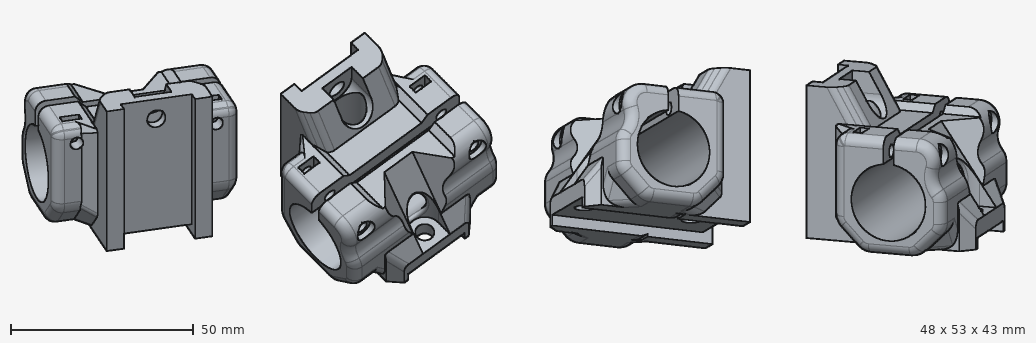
import cadquery as cq
import math

OVER = 1.0

BODY_LENGTH = 53.0
BODY_HALF_WIDTH = 16.0
BODY_TOP = 33.0
END_FILLET = 3.0
BORE_RADIUS = 10.8
BORE_Z = 15.0
CLAMP_GAP = 3.0
BOTTOM_CHAMFER = 8.0
BOTTOM_CORNER_RADIUS = 5.0
TOP_CORNER_CHAMFER = 2.0
TOP_CORNER_RADIUS = 3.01
SHOULDER_CENTER = (-8.0, 27.0)
SHOULDER_RADIUS = 6.0
FLANK_CENTER = (-11.0, 16.2)
FLANK_RADIUS = BODY_HALF_WIDTH + FLANK_CENTER[0]
WAIST_RADIUS = 6.0

MOUNT_LEFT = -20.0
MOUNT_RIGHT = 28.0
MOUNT_HALF_WIDTH = 15.1
MOUNT_TOP = 43.0
CHANNEL_HALF_WIDTH = 10.15
CHANNEL_DEPTH = 3.0
EDGE_FILLET = 3.0

FOOT_HEIGHT = 8.0
FOOT_SLOPE = math.tan(math.radians(55.0))
FOOT_CORNER = 3.5
FOOT_REACH = 8.0

PLATE_TOP_LEFT = 17.2
PLATE_SLOPE = math.tan(math.radians(60.0))
PLATE_EDGE_CHAMFER = 3.0
PLATE_SLOPE_BASE = 28.0

GUSSET_REACH = 3.5
GUSSET_TOP_CHAMFER = 2.2

RECESS_FLOOR = 31.0
RECESS_HALF_FLOOR = 12.9

RELIEF_HALF_WIDTH = 5.05
RELIEF_FLARE = math.radians(39.0)

MOUNT_HOLE_RADIUS = 2.6
FOOT_HOLE_X = -15.0
INNER_HOLE_X = 17.0
HEAD_RADIUS = 4.85
HEAD_SEAT_Z = FOOT_HEIGHT
BORE_BREAK_FILLET = 0.8
BREAK_MARGIN = 0.2
PLATE_HOLE_Z = 37.0
PLATE_HEAD_RADIUS = 5.25
PLATE_SEAT_X = 22.0

CLAMP_SCREW_Y = 20.0
CLAMP_SCREW_Z = 28.0
CLAMP_HOLE_RADIUS = 1.8
CLAMP_HEAD_RADIUS = 3.0
CLAMP_SEAT_X = -12.0
NUT_LEFT = 9.0
NUT_THICKNESS = 2.6
NUT_WIDTH = 5.5
NUT_BOTTOM = 25.0


def box(x0, x1, y0, y1, z0, z1):
    return cq.Workplane("XY").box(x1 - x0, y1 - y0, z1 - z0, centered=False).translate((x0, y0, z0))


def rod(axis, radius, start, length):
    direction = {"X": (1, 0, 0), "Y": (0, 1, 0), "Z": (0, 0, 1)}[axis]
    return cq.Workplane(obj=cq.Solid.makeCylinder(radius, length, cq.Vector(*start), cq.Vector(*direction)))


def xz_prism(points, half_width):
    """Prism along Y, centred on Y = 0, from a closed X-Z outline."""
    return cq.Workplane("XZ").polyline(points).close().extrude(half_width, both=True)


def between(start, end, distance):
    """Point at a distance from start on the way to end."""
    span = math.dist(start, end)
    return tuple(a + (b - a) * distance / span for a, b in zip(start, end))


def waist_center():
    """Centre of the hollow arc tangent to both the shoulder and the flank arcs."""
    to_shoulder = SHOULDER_RADIUS + WAIST_RADIUS
    to_flank = FLANK_RADIUS + WAIST_RADIUS
    span = math.dist(FLANK_CENTER, SHOULDER_CENTER)
    along = (to_flank**2 - to_shoulder**2 + span**2) / (2 * span)
    aside = math.sqrt(to_flank**2 - along**2)
    ux = (SHOULDER_CENTER[0] - FLANK_CENTER[0]) / span
    uz = (SHOULDER_CENTER[1] - FLANK_CENTER[1]) / span
    return (FLANK_CENTER[0] + along * ux - aside * uz, FLANK_CENTER[1] + along * uz + aside * ux)


def make_body():
    waist = waist_center()
    shoulder_end = between(SHOULDER_CENTER, waist, SHOULDER_RADIUS)
    flank_end = between(FLANK_CENTER, waist, FLANK_RADIUS)
    waist_middle = between(waist, (0, waist[1]), WAIST_RADIUS)
    shoulder_middle = (SHOULDER_CENTER[0] - SHOULDER_RADIUS * math.cos(math.pi / 4),
                       SHOULDER_CENTER[1] + SHOULDER_RADIUS * math.sin(math.pi / 4))
    half_turn = math.atan2(flank_end[1] - FLANK_CENTER[1], FLANK_CENTER[0] - flank_end[0]) / 2
    flank_middle = (FLANK_CENTER[0] - FLANK_RADIUS * math.cos(half_turn),
                    FLANK_CENTER[1] + FLANK_RADIUS * math.sin(half_turn))
    bottom_half = BODY_HALF_WIDTH - BOTTOM_CHAMFER
    body = (
        cq.Workplane("XZ")
        .moveTo(-bottom_half, 0)
        .lineTo(bottom_half, 0)
        .lineTo(BODY_HALF_WIDTH, BOTTOM_CHAMFER)
        .lineTo(BODY_HALF_WIDTH, BODY_TOP)
        .lineTo(SHOULDER_CENTER[0], BODY_TOP)
        .threePointArc(shoulder_middle, shoulder_end)
        .threePointArc(waist_middle, flank_end)
        .threePointArc(flank_middle, (-BODY_HALF_WIDTH, FLANK_CENTER[1]))
        .lineTo(-BODY_HALF_WIDTH, BOTTOM_CHAMFER)
        .close()
        .extrude(BODY_LENGTH / 2, both=True)
    )
    low_corners = cq.selectors.BoxSelector(
        (-BODY_HALF_WIDTH - OVER, -OVER, -OVER), (BODY_HALF_WIDTH + OVER, OVER, BOTTOM_CHAMFER + OVER)
    )
    body = body.edges("|Y").edges(low_corners).fillet(BOTTOM_CORNER_RADIUS)
    body = body.edges("|Y").edges(">X and >Z").chamfer(TOP_CORNER_CHAMFER)
    right_half = cq.selectors.BoxSelector(
        (0, -OVER, BODY_TOP - TOP_CORNER_CHAMFER - OVER), (BODY_HALF_WIDTH + OVER, OVER, BODY_TOP + OVER)
    )
    body = body.edges("|Y").edges(right_half).fillet(TOP_CORNER_RADIUS)
    return body.faces("<Y or >Y").edges().fillet(END_FILLET)


def cut_belt_recess(body):
    rise = BODY_TOP - RECESS_FLOOR
    slope = (MOUNT_HALF_WIDTH - RECESS_HALF_FLOOR) / rise
    top = BODY_TOP + OVER
    half_top = MOUNT_HALF_WIDTH + OVER * slope
    outline = [(-half_top, top), (-RECESS_HALF_FLOOR, RECESS_FLOOR),
               (RECESS_HALF_FLOOR, RECESS_FLOOR), (half_top, top)]
    recess = cq.Workplane("YZ").polyline(outline).close().extrude(BODY_HALF_WIDTH + OVER, both=True)
    return body.cut(recess)


def make_gusset():
    """Gusset at -Y: the right side and chamfers of the body, flared at 45 degrees out to the mount."""
    shift = GUSSET_REACH * math.sqrt(2)
    right = BODY_HALF_WIDTH + GUSSET_REACH
    far_left = -2 * BODY_HALF_WIDTH
    keel = BOTTOM_CHAMFER - BODY_HALF_WIDTH - shift
    peak = BODY_TOP + BODY_HALF_WIDTH - GUSSET_TOP_CHAMFER + shift
    flared = [(0, keel), (right, keel + right), (right, peak - right), (0, peak), (far_left, peak),
              (far_left, keel - far_left)]
    depth = GUSSET_REACH + OVER
    taper = (
        cq.Workplane("XZ", origin=(0, -MOUNT_HALF_WIDTH, 0))
        .polyline(flared).close()
        .extrude(depth, taper=45)
    )
    limits = [(-BODY_HALF_WIDTH, 0), (right, 0), (right, BODY_TOP), (0, BODY_TOP),
              (-BODY_HALF_WIDTH, FLANK_CENTER[1])]
    gusset = taper.intersect(xz_prism(limits, BODY_LENGTH / 2))
    middle_y = -MOUNT_HALF_WIDTH - depth / 2
    low_edges = cq.selectors.BoxSelector(
        (-right, middle_y - OVER / 2, -OVER), (right, middle_y + OVER / 2, BOTTOM_CHAMFER + OVER)
    )
    return gusset.edges(low_edges).fillet(EDGE_FILLET)


def make_foot():
    inner_x = MOUNT_LEFT + FOOT_REACH
    inner_z = FOOT_HEIGHT + FOOT_REACH * FOOT_SLOPE
    side = [(MOUNT_LEFT, 0), (MOUNT_LEFT, FOOT_HEIGHT), (inner_x, inner_z), (0, inner_z), (0, 0)]
    end_half = MOUNT_HALF_WIDTH - FOOT_CORNER
    wide_half = end_half - MOUNT_LEFT
    plan = [(MOUNT_LEFT, -end_half), (MOUNT_LEFT, end_half), (0, wide_half), (0, -wide_half)]
    wedge = xz_prism(side, wide_half).intersect(cq.Workplane("XY").polyline(plan).close().extrude(inner_z))
    mid_x = MOUNT_LEFT + FOOT_REACH / 2
    mid_z = FOOT_HEIGHT + FOOT_REACH * FOOT_SLOPE / 2
    sloped = cq.selectors.BoxSelector(
        (mid_x - OVER, -wide_half, mid_z - OVER), (mid_x + OVER, wide_half, mid_z + OVER)
    )
    wedge = wedge.edges(sloped).edges("not |Y").fillet(EDGE_FILLET)
    return wedge.intersect(box(MOUNT_LEFT, 0, -MOUNT_HALF_WIDTH, MOUNT_HALF_WIDTH, 0, inner_z))


def make_plate():
    base_x = PLATE_TOP_LEFT - (MOUNT_TOP - PLATE_SLOPE_BASE) / PLATE_SLOPE
    side = [(base_x, 0), (base_x, PLATE_SLOPE_BASE), (PLATE_TOP_LEFT, MOUNT_TOP),
            (MOUNT_RIGHT, MOUNT_TOP), (MOUNT_RIGHT, 0)]
    plate = xz_prism(side, MOUNT_HALF_WIDTH)
    lean = cq.selectors.ParallelDirSelector(cq.Vector(1, 0, PLATE_SLOPE))
    return plate.edges(lean).chamfer(PLATE_EDGE_CHAMFER).edges(lean).fillet(EDGE_FILLET)


def relief_outline(z):
    """Plan of the screwdriver relief at height z: it follows the foot slope and flares to the left."""
    front = MOUNT_LEFT + (z - FOOT_HEIGHT) / FOOT_SLOPE
    depth = BODY_LENGTH / 2
    wide = RELIEF_HALF_WIDTH + depth * math.tan(RELIEF_FLARE)
    back = front - depth
    return [(front, -RELIEF_HALF_WIDTH), (front, RELIEF_HALF_WIDTH), (back, wide), (back, -wide)]


def make_relief():
    top = BODY_TOP + OVER
    return (
        cq.Workplane("XY", origin=(0, 0, FOOT_HEIGHT))
        .polyline(relief_outline(FOOT_HEIGHT)).close()
        .workplane(offset=top - FOOT_HEIGHT)
        .polyline(relief_outline(top)).close()
        .loft(ruled=True)
    )


def foot_screw_access():
    """Screw head clearance over the foot, open to the left and breaking into the bore."""
    access = rod("Z", HEAD_RADIUS, (FOOT_HOLE_X, 0, HEAD_SEAT_Z), BODY_TOP - HEAD_SEAT_Z)
    opening = box(MOUNT_LEFT - OVER, FOOT_HOLE_X, -HEAD_RADIUS, HEAD_RADIUS, HEAD_SEAT_Z, BODY_TOP)
    return access.union(opening)


def round_bore_break(part):
    """Round the edge where the foot screw access breaks into the bore."""
    access_edge_x = FOOT_HOLE_X + HEAD_RADIUS
    half_height = math.sqrt(BORE_RADIUS**2 - access_edge_x**2) + BREAK_MARGIN
    edges = cq.selectors.BoxSelector(
        (-BORE_RADIUS - BREAK_MARGIN, -HEAD_RADIUS, BORE_Z - half_height),
        (access_edge_x + BREAK_MARGIN, HEAD_RADIUS, BORE_Z + half_height),
        boundingbox=True,
    )
    return part.edges(edges).fillet(BORE_BREAK_FILLET)


def cut_upright_screws(part):
    """Vertical screw holes through the floor of the mount."""
    for hole_x in (FOOT_HOLE_X, INNER_HOLE_X):
        part = part.cut(rod("Z", MOUNT_HOLE_RADIUS, (hole_x, 0, -OVER), HEAD_SEAT_Z + 2 * OVER))
    return part.cut(rod("Z", HEAD_RADIUS, (INNER_HOLE_X, 0, HEAD_SEAT_Z), MOUNT_TOP))


def cut_plate_screw(part):
    """Horizontal screw hole through the plate, with a head pocket open at the top."""
    radius = PLATE_HEAD_RADIUS
    head = rod("X", radius, (0, 0, PLATE_HOLE_Z), PLATE_SEAT_X)
    head = head.union(box(0, PLATE_SEAT_X, -radius, radius, PLATE_HOLE_Z, MOUNT_TOP + OVER))
    return part.cut(head).cut(rod("X", MOUNT_HOLE_RADIUS, (0, 0, PLATE_HOLE_Z), MOUNT_RIGHT + OVER))


def cut_channels(part):
    """Channels along the bottom and the right face of the mount."""
    half = CHANNEL_HALF_WIDTH
    right = MOUNT_RIGHT + OVER
    part = part.cut(box(MOUNT_LEFT - OVER, right, -half, half, -OVER, CHANNEL_DEPTH))
    return part.cut(box(MOUNT_RIGHT - CHANNEL_DEPTH, right, -half, half, -OVER, MOUNT_TOP + OVER))


def cut_clamp_screw(part, y):
    """Clamp screw hole along X with its head seat on the left and a nut slot from the top."""
    outside = MOUNT_LEFT
    part = part.cut(rod("X", CLAMP_HOLE_RADIUS, (outside, y, CLAMP_SCREW_Z), MOUNT_RIGHT - outside))
    part = part.cut(rod("X", CLAMP_HEAD_RADIUS, (outside, y, CLAMP_SCREW_Z), CLAMP_SEAT_X - outside))
    return part.cut(box(NUT_LEFT, NUT_LEFT + NUT_THICKNESS, y - NUT_WIDTH / 2, y + NUT_WIDTH / 2,
                        NUT_BOTTOM, BODY_TOP + OVER))


result = cut_belt_recess(make_body())
gusset = make_gusset()
result = result.union(gusset).union(gusset.mirror("XZ"))
result = result.union(make_foot()).union(make_plate())
result = result.cut(make_relief())
result = result.cut(rod("Y", BORE_RADIUS, (0, -BODY_LENGTH / 2 - OVER, BORE_Z), BODY_LENGTH + 2 * OVER))
result = result.cut(foot_screw_access())
result = round_bore_break(result)
result = result.cut(box(-CLAMP_GAP / 2, CLAMP_GAP / 2, -BODY_LENGTH, BODY_LENGTH, BORE_Z, BODY_TOP + OVER))
result = cut_upright_screws(result)
result = cut_plate_screw(result)
result = cut_channels(result)
for screw_y in (-CLAMP_SCREW_Y, CLAMP_SCREW_Y):
    result = cut_clamp_screw(result, screw_y)